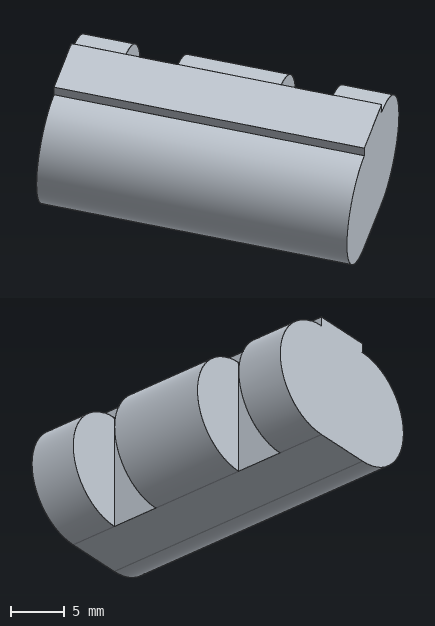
import cadquery as cq

length = 30.0
side_radius = 6.0
flat_width = 6.0
rail_height = 1.0
slot_width = length / 6

half_flat = flat_width / 2
body_height = 2 * side_radius
slot_centre = length / 4


def make_body():
    """Obround profile extruded along X, centred on the X and Y axes."""
    return (
        cq.Workplane("YZ", origin=(-length / 2, 0, 0))
        .slot2D(flat_width + 2 * side_radius, body_height)
        .extrude(length)
    )


def make_rail():
    """Strip over the full length, as wide as the flat top."""
    return cq.Workplane("XY").box(
        length, flat_width, side_radius + rail_height, centered=(True, True, False)
    )


def make_knuckle_slots():
    """Two vertical slots through the rounded +Y side, back to the rail edge."""
    return (
        cq.Workplane("XY", origin=(0, half_flat + side_radius / 2, 0))
        .pushPoints([(-slot_centre, 0), (slot_centre, 0)])
        .rect(slot_width, side_radius)
        .extrude(side_radius, both=True)
    )


result = make_body().union(make_rail()).cut(make_knuckle_slots())